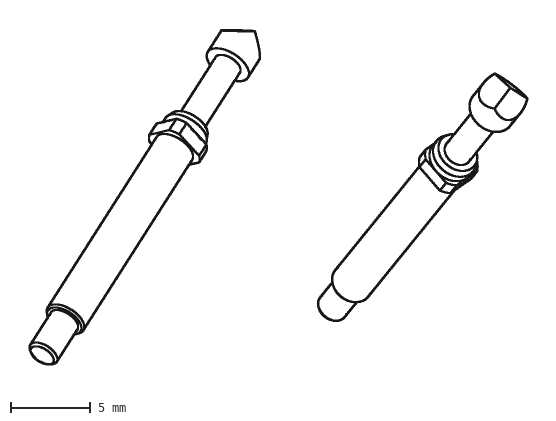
import cadquery as cq
import math


total_length = 28.3
tail_length = 3.0
nut_bottom = 18.0
nut_top = 19.0
collar_top = 20.0
head_length = 3.0
head_bottom = total_length - head_length

tail_diameter = 1.98
body_diameter = 2.65
collar_diameter = 3.0
plunger_diameter = 1.8
head_diameter = 3.0

nut_across_flats = 3.0
nut_corner_diameter = 3.6

tail_chamfer = 0.17
body_chamfer_length = 0.17
body_chamfer_depth = 0.1
collar_chamfer_length = 0.45
collar_chamfer_depth = 0.17

tip_faces = 3
tip_face_angle = 45.0


def cylinder(diameter, start, end):
    """Round bar on the Y axis between two stations."""
    return cq.Workplane("XZ", origin=(0, start, 0)).circle(diameter / 2).extrude(start - end)


def stepped_body():
    """Tail, barrel, and collar, turned as one profile."""
    tail_radius = tail_diameter / 2
    body_radius = body_diameter / 2
    collar_radius = collar_diameter / 2
    profile = [
        (0, 0),
        (tail_radius - tail_chamfer, 0),
        (tail_radius, tail_chamfer),
        (tail_radius, tail_length),
        (body_radius - body_chamfer_depth, tail_length),
        (body_radius, tail_length + body_chamfer_length),
        (body_radius, nut_top),
        (collar_radius, nut_top),
        (collar_radius, collar_top - collar_chamfer_length),
        (collar_radius - collar_chamfer_depth, collar_top),
        (0, collar_top),
    ]
    return cq.Workplane("XY").polyline(profile).close().revolve(360, (0, 0, 0), (0, 1, 0))


def square_nut():
    """Square flange with its corners pointing along X and Z."""
    square = (
        cq.Workplane("XZ", origin=(0, nut_bottom, 0))
        .rect(nut_across_flats, nut_across_flats)
        .extrude(nut_bottom - nut_top)
        .rotate((0, 0, 0), (0, 1, 0), 45)
    )
    return square.intersect(cylinder(nut_corner_diameter, nut_bottom, nut_top))


def pointed_head():
    """Round head cut by equally spaced sloping planes that meet at the tip."""
    head = cylinder(head_diameter, head_bottom, total_length)
    reach = head_diameter
    drop = reach / math.tan(math.radians(tip_face_angle))
    waste = (
        cq.Workplane("XY")
        .polyline([(0, total_length), (reach, total_length), (reach, total_length - drop)])
        .close()
        .extrude(2 * head_diameter, both=True)
    )
    for face in range(tip_faces):
        head = head.cut(waste.rotate((0, 0, 0), (0, 1, 0), face * 360 / tip_faces))
    return head


plunger = cylinder(plunger_diameter, collar_top, head_bottom)
result = stepped_body().union(square_nut()).union(plunger).union(pointed_head())